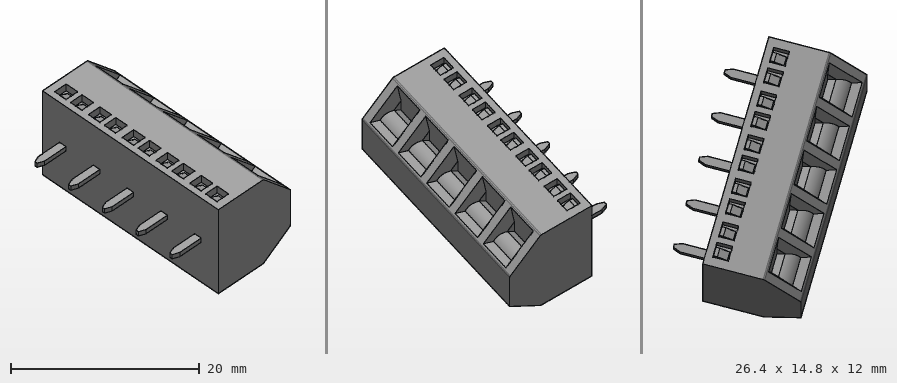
import cadquery as cq
import math

pole_count = 5
pole_pitch = 5.07
length = 26.4
height = 12.0
depth = 10.8
deck_depth = 6.73
rear_face_bottom = 2.85
rear_face_top = height - (depth - deck_depth)
wire_face_edge_radius = 0.25

pin_width = 0.98
pin_thickness = 0.6
pin_length = 4.0
pin_point_length = 0.82
pin_tip_width = 0.35

probe_size = 1.72
probe_depth = 0.98
probe_offset = 1.2
probe_edge_gap = 0.82
wedge_width = 1.0
wedge_shelf = 0.42
wedge_run = 1.08
wedge_height = 0.4

entry_width = 4.0
entry_throat_width = 2.7
entry_taper_depth = 1.32
entry_straight_depth = 3.17
entry_back = 10.53
entry_front = 6.95
sill_end = 9.48
hump_end = 7.85
hump_rise = 0.77
hump_radius = 1.87
inner_floor_angle = math.radians(36)

pole_centres = [(i - (pole_count - 1) / 2) * pole_pitch for i in range(pole_count)]


def wire_face_z(y):
    """Height of the sloped wire face at a given Y."""
    return height + deck_depth - y


def side_prism(outline, width):
    """Extrude a Y-Z outline to a width centred on X = 0."""
    return outline.close().extrude(width / 2, both=True)


def make_housing():
    outline = (
        cq.Workplane("YZ")
        .lineTo(deck_depth, 0)
        .lineTo(depth, rear_face_bottom)
        .lineTo(depth, rear_face_top)
        .lineTo(deck_depth, height)
        .lineTo(0, height)
    )
    margin = wire_face_edge_radius
    wire_face_edges = cq.selectors.BoxSelector(
        (-length, deck_depth - margin, rear_face_top - margin),
        (length, depth + margin, height + margin),
    )
    block = side_prism(outline, length)
    return block.edges("|X").edges(wire_face_edges).fillet(wire_face_edge_radius)


def make_pin():
    shoulder = pin_point_length - pin_length
    return (
        cq.Workplane("XY", origin=(0, 0, (height - pin_thickness) / 2))
        .moveTo(-pin_width / 2, 0)
        .lineTo(-pin_width / 2, shoulder)
        .lineTo(-pin_tip_width / 2, -pin_length)
        .lineTo(pin_tip_width / 2, -pin_length)
        .lineTo(pin_width / 2, shoulder)
        .lineTo(pin_width / 2, 0)
        .close()
        .extrude(pin_thickness)
    )


def make_probe_pocket():
    """Square pocket less the wedge standing against its front wall."""
    floor = height - probe_depth
    shelf_end = probe_edge_gap + wedge_shelf
    pocket = cq.Workplane("XY", origin=(0, probe_edge_gap, floor)).box(
        probe_size, probe_size, probe_depth, centered=(True, False, False)
    )
    wedge = (
        cq.Workplane("YZ")
        .moveTo(probe_edge_gap, floor)
        .lineTo(shelf_end + wedge_run, floor)
        .lineTo(shelf_end, floor + wedge_height)
        .lineTo(probe_edge_gap, floor + wedge_height)
    )
    return pocket.cut(side_prism(wedge, wedge_width))


def make_entry_floor_space():
    """Space between the stepped entry floor and the sloped face."""
    sill_z = wire_face_z(entry_back)
    hump_exit_z = sill_z + hump_rise
    inner_floor_z = hump_exit_z - (hump_end - entry_front) * math.tan(inner_floor_angle)
    outline = (
        cq.Workplane("YZ")
        .moveTo(entry_back, sill_z)
        .lineTo(sill_end, sill_z)
        .radiusArc((hump_end, hump_exit_z), -hump_radius)
        .lineTo(entry_front, inner_floor_z)
        .lineTo(entry_front, wire_face_z(entry_front))
    )
    return side_prism(outline, entry_width)


def make_entry_funnel():
    """Tapered then straight side walls, swept down the sloped face; local Y points inward."""
    section = cq.Plane(
        origin=(0, deck_depth, height), xDir=(1, 0, 0), normal=(0, 1, -1)
    )
    mouth = entry_width / 2
    throat = entry_throat_width / 2
    bottom = entry_taper_depth + entry_straight_depth
    face_length = math.hypot(depth - deck_depth, height - rear_face_top)
    return (
        cq.Workplane(section)
        .moveTo(-mouth, 0)
        .lineTo(mouth, 0)
        .lineTo(throat, entry_taper_depth)
        .lineTo(throat, bottom)
        .lineTo(-throat, bottom)
        .lineTo(-throat, entry_taper_depth)
        .close()
        .extrude(face_length)
    )


pin = make_pin()
probe_pocket = make_probe_pocket()
wire_entry = make_entry_floor_space().intersect(make_entry_funnel())

result = make_housing()
for x in pole_centres:
    result = result.union(pin.translate((x, 0, 0)))
    result = result.cut(wire_entry.translate((x, 0, 0)))
    for side in (-1, 1):
        result = result.cut(probe_pocket.translate((x + side * probe_offset, 0, 0)))